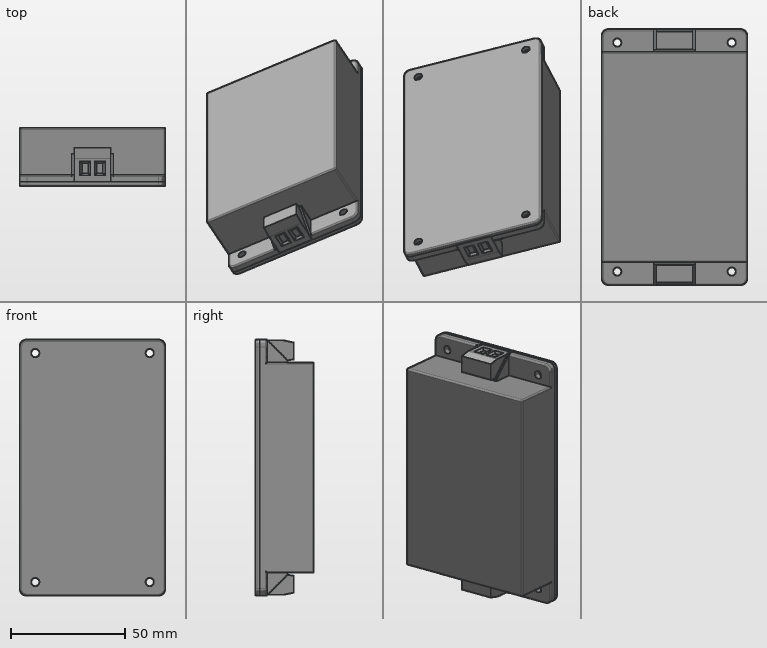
import cadquery as cq

width = 63.75
depth = 25.65
length = 112.01

cover_thickness = 2.0
cover_edge_radius = 0.75
flange_back = 5.2
corner_radius = 3.2
housing_edge_radius = 0.75

ear_length = 10.0
box_length = length - 2 * ear_length
half_length = length / 2
half_box = box_length / 2

hole_diameter = 3.5
hole_spacing_x = 50.0
hole_spacing_z = 100.0

gusset_width = 1.0
gusset_front = 5.0
gusset_back = 14.2
gusset_end_height = ear_length - (gusset_back - gusset_front)

block_width = 16.0
block_back = 16.9
block_step = 0.35
block_slope_start = 12.3
block_slope_drop = 1.0
block_gap_inner = gusset_end_height
block_gap_outer = 1.2

opening_spacing = 6.4
opening_width = 4.6
opening_height = 6.3
opening_center = 7.95
opening_bevel = 1.0
opening_depth = opening_bevel


def rounded_plate(y_front, y_back):
    """Plate with rounded corners, filling the outline from y_front to y_back."""
    plate = cq.Workplane("XY").box(width, y_back - y_front, length, centered=(True, False, True))
    return plate.edges("|Y").fillet(corner_radius).translate((0, y_front, 0))


def drill_mounting_holes(body):
    """Four through holes along Y, in a rectangle about the center."""
    drills = (
        cq.Workplane("XZ")
        .rect(hole_spacing_x, hole_spacing_z, forConstruction=True)
        .vertices()
        .circle(hole_diameter / 2)
        .extrude(-depth)
    )
    return body.cut(drills)


def side_profile(points, thickness):
    """Extrude a (Y, Z) outline symmetrically about the X = 0 plane."""
    return cq.Workplane("YZ").polyline(points).close().extrude(thickness / 2, both=True)


def make_gussets():
    """45 degree brace between the upper ear and the box, wider than the terminal block it supports."""
    points = [
        (cover_thickness, half_box),
        (cover_thickness, half_length),
        (gusset_front, half_length),
        (gusset_back, half_box + gusset_end_height),
        (gusset_back, half_box),
    ]
    return side_profile(points, block_width + 2 * gusset_width)


def make_block_notch():
    """Shallow notch in the edge of the flange and gussets, flush with the end face of the terminal block."""
    notch = cq.Workplane("XY").box(
        block_width, block_slope_start - cover_thickness, block_step, centered=(True, False, False)
    )
    return notch.translate((0, cover_thickness, half_length - block_step))


def make_terminal_block():
    """Block on the upper ear, with its back part tapered and clear of the box."""
    end_face = half_length - block_step
    points = [
        (cover_thickness, half_box),
        (cover_thickness, end_face),
        (block_slope_start, end_face),
        (block_back, end_face - block_slope_drop),
        (block_back, half_box + block_gap_outer),
        (gusset_back, half_box + block_gap_inner),
        (gusset_back, half_box),
    ]
    return side_profile(points, block_width)


def make_opening(x):
    """Pocket with sloped walls and a flat floor, sunk into the end face of the terminal block."""
    return (
        cq.Workplane("XY", origin=(x, opening_center, half_length - block_step))
        .rect(opening_width, opening_height)
        .workplane(offset=-opening_depth)
        .rect(opening_width - 2 * opening_bevel, opening_height - 2 * opening_bevel)
        .loft(ruled=True)
    )


def at_both_ends(shape):
    """The shape at the upper end and its mirror image at the lower end."""
    return [shape, shape.mirror("XY")]


def make_cover():
    """Front plate with rounded front rim and mounting holes."""
    cover = rounded_plate(0, cover_thickness)
    cover = cover.faces("<Y").edges().fillet(cover_edge_radius)
    return drill_mounting_holes(cover)


def add_terminals(housing):
    """Add a terminal block with its gussets and wire openings to each end of the housing."""
    for gussets in at_both_ends(make_gussets()):
        housing = housing.union(gussets)
    for notch in at_both_ends(make_block_notch()):
        housing = housing.cut(notch)
    for block in at_both_ends(make_terminal_block()):
        housing = housing.union(block)
    for x in (-opening_spacing / 2, opening_spacing / 2):
        for opening in at_both_ends(make_opening(x)):
            housing = housing.cut(opening)
    return housing


def make_housing():
    """Flange and box behind the cover, with mounting holes and terminal blocks."""
    flange = rounded_plate(cover_thickness, flange_back)
    flange = flange.faces(">Y").edges().fillet(housing_edge_radius)
    box = cq.Workplane("XY").box(width, depth - cover_thickness, box_length, centered=(True, False, True))
    box = box.edges("|Y or >Y").fillet(housing_edge_radius).translate((0, cover_thickness, 0))
    return add_terminals(drill_mounting_holes(flange.union(box)))


cover = make_cover()
housing = make_housing()
result = cq.Compound.makeCompound([cover.val(), *housing.vals()])